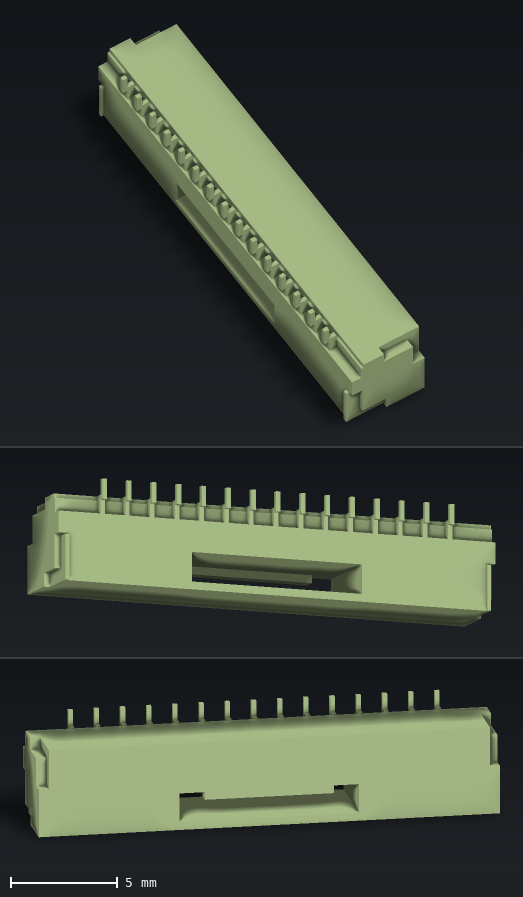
import cadquery as cq


length = 22.0
total_depth = 4.2
body_front = 0.15
body_height = 4.22
ledge_height = 3.3
step_y = 0.65
groove_width = 0.13
groove_depth = 0.22

pin_count = 15
pin_row_span = 17.5
pin_pitch = pin_row_span / (pin_count - 1)
pin_width = 0.22
pin_stem_thickness = 0.4
pin_foot_base = 3.98
pin_top = 4.95

window_length = 8.55
window_bottom = 0.37
window_top = 1.78
tab_length = 6.15
tab_drop = 0.37
tab_thickness = 0.65

recess_depth = 0.48
arm_thickness = 0.65
back_arm_height = 1.91
back_arm_drop = 0.57
back_arm_reach = 2.27
front_recess_y = 0.73
front_recess_top = 2.27
front_arm_reach = 2.07

bracket_thickness = 0.2
bracket_top = 2.2


def prism(points, x_start, width):
    """Extrude a (Y, Z) outline along +X from x_start."""
    return cq.Workplane("YZ", origin=(x_start, 0, 0)).polyline(points).close().extrude(width)


def block(x_range, y_range, z_range):
    """Box given by its limits on each axis."""
    sizes = [high - low for low, high in (x_range, y_range, z_range)]
    corner = (x_range[0], y_range[0], z_range[0])
    return cq.Workplane("XY").box(*sizes, centered=False).translate(corner)


def centred(size):
    """Limits of a span of the given size placed symmetrically about zero."""
    return (-size / 2, size / 2)


def housing():
    outline = [
        (body_front, 0),
        (total_depth, 0),
        (total_depth, body_height),
        (step_y + groove_width, body_height),
        (step_y + groove_width, body_height - groove_depth),
        (step_y, body_height - groove_depth),
        (step_y, ledge_height),
        (body_front, ledge_height),
    ]
    return prism(outline, -length / 2, length)


def window():
    opening = block(centred(window_length), (0, total_depth), (window_bottom, window_top))
    lip = block(
        centred(tab_length),
        (total_depth - tab_thickness, total_depth),
        (window_top - tab_drop, window_top),
    )
    return opening.cut(lip)


def back_recess():
    inner_y = total_depth - arm_thickness
    inner_z = body_height - back_arm_drop
    outline = [
        (total_depth, body_height),
        (total_depth - back_arm_reach, body_height),
        (total_depth - back_arm_reach, inner_z),
        (inner_y, inner_z),
        (inner_y, body_height - back_arm_height),
        (total_depth, body_height - back_arm_height),
    ]
    return prism(outline, -length / 2, recess_depth)


def front_angle(top, x_start, width):
    """L-shaped prism at the lower front corner, shared by recess and bracket."""
    outline = [
        (0, 0),
        (front_arm_reach, 0),
        (front_arm_reach, arm_thickness),
        (front_recess_y, arm_thickness),
        (front_recess_y, top),
        (0, top),
    ]
    return prism(outline, x_start, width)


def pin(x_centre):
    stem_front = step_y - pin_stem_thickness
    outline = [
        (step_y, ledge_height),
        (step_y, body_height),
        (stem_front, body_height),
        (stem_front, pin_top),
        (0, pin_top),
        (0, pin_foot_base),
        (stem_front, pin_foot_base),
        (stem_front, ledge_height),
    ]
    return prism(outline, x_centre - pin_width / 2, pin_width)


def both_ends(solid):
    """The left-hand solid together with its mirror image at the right-hand end."""
    return solid.union(solid.mirror("YZ"))


left_recesses = back_recess().union(front_angle(front_recess_top, -length / 2, recess_depth))
bracket_x = -length / 2 + recess_depth - bracket_thickness
left_bracket = front_angle(bracket_top, bracket_x, bracket_thickness)

result = housing().cut(window()).cut(both_ends(left_recesses)).union(both_ends(left_bracket))
for index in range(pin_count):
    result = result.union(pin(-pin_row_span / 2 + index * pin_pitch))